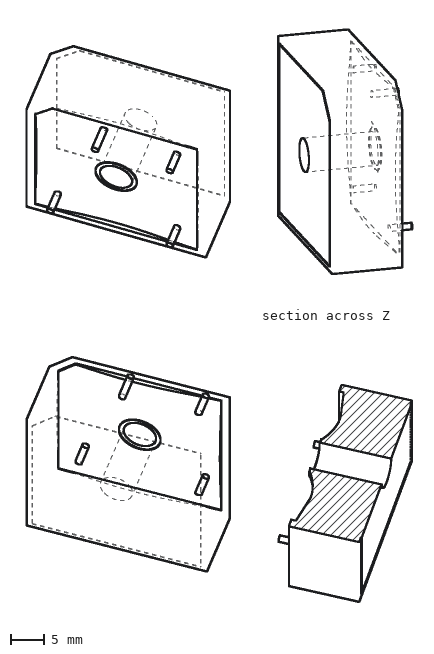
import cadquery as cq
case_size = 28.7
case_depth = 11.1
corner_cut = 3.65
edge_radius = 0.2
case_half = case_size / 2
front_y = -case_depth / 2
back_y = front_y + case_depth

plate_inset = 0.98
plate_height = 0.11

rim_width = 1.44
pocket_cut = 2.75

hole_diameter = 5.15
collar_radius = 3.3

dish_section = [
    (collar_radius, 0.11),
    (6.3, 1.44),
    (7.75, 1.6),
    (9.75, 1.32),
    (13.2, 0.7),
    (18.37, 0.1),
]

pin_diameter = 1.03
pin_length = 2.8
pin_offset = 9.53
inner_pin_x = -2.38
pin_root = 2.87
pin_centres = [
    (inner_pin_x, pin_offset),
    (pin_offset, pin_offset),
    (-pin_offset, -pin_offset),
    (pin_offset, -pin_offset),
]


def cut_corner_prism(half, cut, start_y, depth):
    """Square prism running toward +Y with its upper left corner cut off."""
    outline = [
        (-half, -half),
        (half, -half),
        (half, half),
        (-half + cut, half),
        (-half, half - cut),
    ]
    plane = cq.Workplane("XZ", origin=(0, start_y, 0))
    return plane.polyline(outline).close().extrude(-depth)


def round_bar(diameter, x, z, start_y, depth):
    """Round bar running toward +Y."""
    plane = cq.Workplane("XZ", origin=(0, start_y, 0))
    return plane.center(x, z).circle(diameter / 2).extrude(-depth)


def dish_cutter():
    """Ring-shaped recess around the collar, trimmed to the inside of the rim."""
    curve = [(radius, front_y + depth) for radius, depth in dish_section]
    collar_edge = curve[0]
    corner_radius = curve[-1][0]
    recess = (
        cq.Workplane("XY")
        .moveTo(collar_radius, front_y)
        .lineTo(*collar_edge)
        .spline(curve[1:], includeCurrent=True)
        .lineTo(corner_radius, front_y)
        .close()
        .revolve(360, (0, 0, 0), (0, 1, 0))
    )
    rim_opening = cut_corner_prism(case_half - rim_width, pocket_cut, front_y, case_depth)
    return recess.intersect(rim_opening)


def lead_pin(x, z):
    """Lead pin standing out of the front and anchored in the case."""
    return round_bar(pin_diameter, x, z, front_y - pin_length, pin_length + pin_root)


case = cut_corner_prism(case_half, corner_cut, front_y, case_depth)
case = case.edges().fillet(edge_radius)
plate = cut_corner_prism(case_half - plate_inset, corner_cut, back_y, plate_height)
mounting_hole = round_bar(hole_diameter, 0, 0, front_y, case_depth + plate_height)

result = case.cut(dish_cutter()).union(plate)
for pin_x, pin_z in pin_centres:
    result = result.union(lead_pin(pin_x, pin_z))
result = result.cut(mounting_hole)